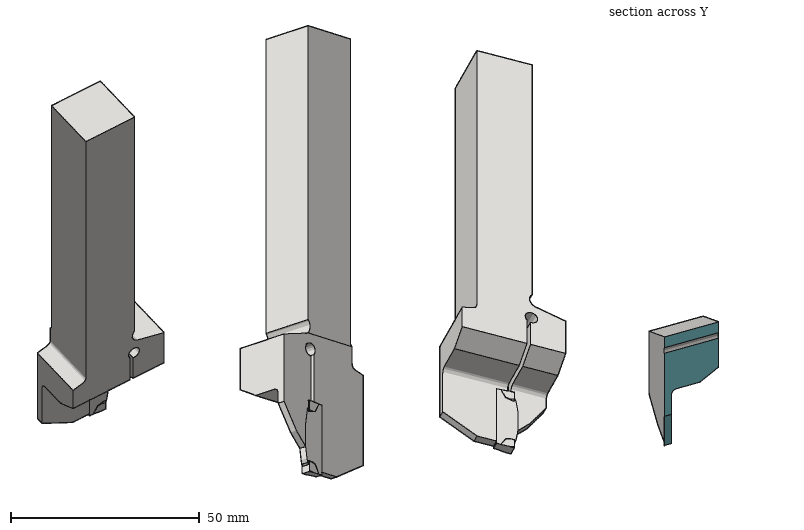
import cadquery as cq
import math


total_height = 125.0
shank_width = 16.0
shank_depth = 15.8
shank_setback = 0.6
width_x = shank_setback + shank_width
setback_cove_radius = 1.9
setback_cove_bottom = 38.8

head_back = -4.1
head_front = 25.2
shoulder_slope = math.radians(15)
relief_radius = 2.5
relief_depth = 0.8
relief_centre_z = 41.0
back_fillet_radius = 1.5
back_fillet_top = 34.0
back_chamfer_top = 6.5
back_chamfer_end = 5.6
holder_bottom = 1.0
nose_top = 17.5
nose_kink = (20.6, 10.4)

blade_thickness = 2.2
thick_bottom = 21.8
thick_chamfer_top = 24.8
thick_chamfer_x = 10.9
blade_fillet_radius = 1.5

slit_back = 14.2
slit_width = 1.0
slit_hole_y = 15.5
slit_hole_z = 34.4
slit_hole_radius = 1.8

insert_length = 20.0
insert_seat = 11.1
insert_end_clearance = 0.2
cutting_edge_y = 16.1
rake_end = (16.1, 2.0)
chip_breaker_top = (16.5, 2.5)
clamp_ramp_foot = (16.8, 3.5)
clamp_ramp_end = (17.2, 6.8)

flare_overhang = 0.4
flare_root_y = 12.5
flare_root_z = 0.5
flare_knee = (13.8, 2.6)
flare_top_z = 3.2
flare_corner_radius = 0.4
flare_back_chamfer = 0.5


def mirrored_z(point):
    """The (y, z) point at the opposite end of the insert."""
    y, z = point
    return (y, insert_length - z)


def side_profile():
    """Holder outline in YZ, extruded over the full width."""
    relief_y = shank_depth - relief_depth + relief_radius
    relief_start_z = relief_centre_z + math.sqrt(relief_radius**2 - (relief_radius - relief_depth) ** 2)
    relief_middle = (relief_y - relief_radius, relief_centre_z)
    relief_end_y = relief_y - relief_radius * math.sin(shoulder_slope)
    relief_end_z = relief_centre_z - relief_radius * math.cos(shoulder_slope)
    shoulder_end_z = relief_end_z - (head_front - relief_end_y) * math.tan(shoulder_slope)

    turn = math.pi / 2 - shoulder_slope

    def back_fillet_point(angle):
        return (
            -back_fillet_radius * (1 - math.cos(angle)),
            back_fillet_top - back_fillet_radius * math.sin(angle),
        )

    fillet_y, fillet_z = back_fillet_point(turn)
    back_shoulder_z = fillet_z - (fillet_y - head_back) * math.tan(shoulder_slope)

    return (
        cq.Workplane("YZ")
        .moveTo(0, total_height)
        .lineTo(shank_depth, total_height)
        .lineTo(shank_depth, relief_start_z)
        .threePointArc(relief_middle, (relief_end_y, relief_end_z))
        .lineTo(head_front, shoulder_end_z)
        .lineTo(head_front, nose_top)
        .lineTo(*nose_kink)
        .lineTo(*clamp_ramp_end)
        .lineTo(insert_seat, holder_bottom)
        .lineTo(back_chamfer_end, holder_bottom)
        .lineTo(head_back, back_chamfer_top)
        .lineTo(head_back, back_shoulder_z)
        .lineTo(fillet_y, fillet_z)
        .threePointArc(back_fillet_point(turn / 2), (0, back_fillet_top))
        .close()
        .extrude(width_x)
    )


def front_profile():
    """Holder outline in XZ, extruded over the full depth of the head."""
    cove_angle = math.acos(1 - shank_setback / setback_cove_radius)
    cove_top = setback_cove_bottom + setback_cove_radius * math.sin(cove_angle)

    def cove_point(angle):
        return (
            shank_setback - setback_cove_radius * (1 - math.cos(angle)),
            cove_top - setback_cove_radius * math.sin(angle),
        )

    fillet_corner = blade_fillet_radius * (1 - math.sqrt(0.5))
    return (
        cq.Workplane("XZ", origin=(0, head_front, 0))
        .moveTo(0, 0)
        .lineTo(0, setback_cove_bottom)
        .threePointArc(cove_point(cove_angle / 2), (shank_setback, cove_top))
        .lineTo(shank_setback, total_height)
        .lineTo(width_x, total_height)
        .lineTo(width_x, thick_chamfer_top)
        .lineTo(thick_chamfer_x, thick_bottom)
        .lineTo(blade_thickness + blade_fillet_radius, thick_bottom)
        .threePointArc(
            (blade_thickness + fillet_corner, thick_bottom - fillet_corner),
            (blade_thickness, thick_bottom - blade_fillet_radius),
        )
        .lineTo(blade_thickness, 0)
        .close()
        .extrude(head_front - head_back)
    )


def clamping_slit():
    """Slit from the insert pocket up to its round relief hole, through the full width."""
    hole = (
        cq.Workplane("YZ")
        .center(slit_hole_y, slit_hole_z)
        .circle(slit_hole_radius)
        .extrude(width_x)
    )
    slit_bottom = insert_length - 2 * insert_end_clearance
    slit = cq.Workplane("XY").box(width_x, slit_width, slit_hole_z - slit_bottom, centered=False)
    return hole.union(slit.translate((0, slit_back, slit_bottom)))


def insert_core():
    """Part of the insert as thick as the blade; it also gives the pocket its shape."""
    lower_half = [
        (insert_seat, insert_end_clearance),
        (cutting_edge_y, 0),
        rake_end,
        chip_breaker_top,
        clamp_ramp_foot,
        clamp_ramp_end,
    ]
    upper_half = [mirrored_z(point) for point in reversed(lower_half)]
    return cq.Workplane("YZ").polyline(lower_half + upper_half).close().extrude(blade_thickness)


def cutting_head():
    """Wide lower end of the insert, narrowing from the cutting edge towards the seat."""
    edge_clearance = insert_end_clearance / (cutting_edge_y - insert_seat)
    root_end_z = edge_clearance * (cutting_edge_y - flare_root_y)
    flank = (
        cq.Workplane("YZ", origin=(-flare_overhang, 0, 0))
        .polyline([
            (cutting_edge_y, 0),
            (flare_root_y, root_end_z),
            (flare_root_y, flare_root_z),
            flare_knee,
            (cutting_edge_y, flare_top_z),
        ])
        .close()
        .extrude(blade_thickness + 2 * flare_overhang)
    )
    taper = (
        cq.Workplane("XY")
        .polyline([
            (0, flare_root_y),
            (blade_thickness, flare_root_y),
            (blade_thickness + flare_overhang, cutting_edge_y),
            (-flare_overhang, cutting_edge_y),
        ])
        .close()
        .extrude(flare_top_z)
    )
    corners = (
        cq.Workplane("XY", origin=(-flare_overhang, flare_root_y, 0))
        .box(
            blade_thickness + 2 * flare_overhang,
            cutting_edge_y - flare_root_y,
            flare_top_z,
            centered=False,
        )
        .edges("|Y and <Z").fillet(flare_corner_radius)
        .edges("|Y and >Z").chamfer(flare_back_chamfer)
    )
    return flank.intersect(taper).intersect(corners)


def make_insert():
    """Double-ended insert: the same cutting head at both ends of the core."""
    lower_head = cutting_head()
    middle = (0, 0, insert_length / 2)
    upper_head = lower_head.mirror("XY", middle)
    return insert_core().union(lower_head).union(upper_head)


def make_holder():
    """Shank, head and blade, with the insert pocket and clamping slit cut out."""
    return side_profile().intersect(front_profile()).cut(clamping_slit()).cut(insert_core())


holder = make_holder()
insert = make_insert()
result = cq.Compound.makeCompound([holder.solids().val(), insert.solids().val()])